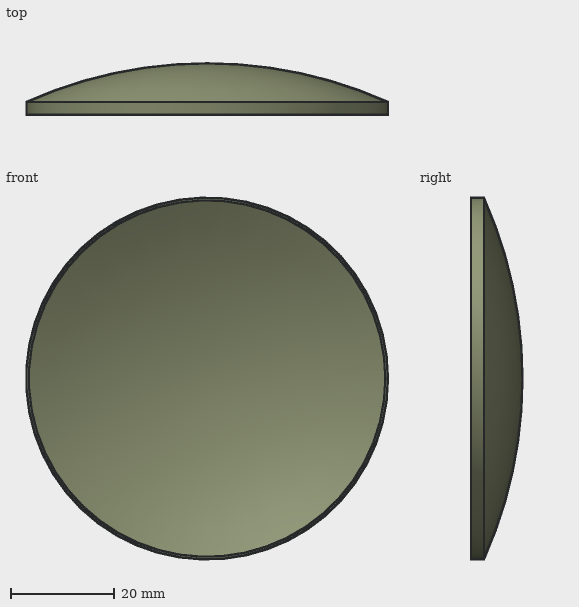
import cadquery as cq
import math

outer_diameter = 70.0
total_height = 10.0
band_height = 2.5
wall_thickness = 2.5

outer_radius = outer_diameter / 2
dome_rise = total_height - band_height
dome_sphere_radius = (outer_radius**2 + dome_rise**2) / (2 * dome_rise)
sphere_center_y = total_height - dome_sphere_radius
hollow_sphere_radius = dome_sphere_radius - wall_thickness
hollow_depth = total_height - wall_thickness
hollow_rim_radius = math.sqrt(hollow_sphere_radius**2 - sphere_center_y**2)


def sphere_point(sphere_radius, distance_from_axis):
    """Section point on one of the concentric spheres, at a distance from the Y axis."""
    height_above_center = math.sqrt(sphere_radius**2 - distance_from_axis**2)
    return (distance_from_axis, sphere_center_y + height_above_center)


def domed_cap():
    """Half section of the cap, revolved about the Y axis."""
    section = (
        cq.Workplane("XY")
        .moveTo(hollow_rim_radius, 0)
        .lineTo(outer_radius, 0)
        .lineTo(outer_radius, band_height)
        .threePointArc(sphere_point(dome_sphere_radius, outer_radius / 2), (0, total_height))
        .lineTo(0, hollow_depth)
        .threePointArc(
            sphere_point(hollow_sphere_radius, hollow_rim_radius / 2),
            (hollow_rim_radius, 0),
        )
        .close()
    )
    return section.revolve(360, (0, 0, 0), (0, 1, 0))


result = domed_cap()